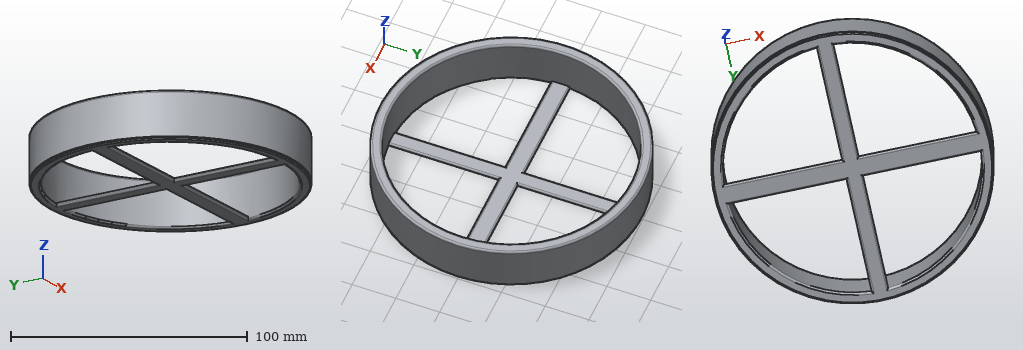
import cadquery as cq

outer_diameter = 119.5
inner_diameter = 109.5
height = 22.0
rim_radius = 1.0

x_bar_width = 8.6
y_bar_width = 7.2
bar_thickness = 1.8
bar_edge_radius = 0.8

bevel_height = 0.6
steep_bevel_inset = 0.2
shallow_bevel_inset = 0.6


def make_ring():
    """Ring with rounded rims and a double bevel around the outside of its base."""
    outer_radius = outer_diameter / 2
    inner_radius = inner_diameter / 2
    bevel_break_radius = outer_radius - steep_bevel_inset
    base_radius = bevel_break_radius - shallow_bevel_inset
    ring = (
        cq.Workplane("XZ")
        .moveTo(inner_radius, 0)
        .lineTo(base_radius, 0)
        .lineTo(bevel_break_radius, bevel_height)
        .lineTo(outer_radius, 2 * bevel_height)
        .lineTo(outer_radius, height)
        .lineTo(inner_radius, height)
        .close()
        .revolve(360, (0, 0), (0, 1))
    )
    ring = ring.faces(">Z").edges().fillet(rim_radius)
    inner_base_edge = ring.faces("<Z").edges(cq.selectors.RadiusNthSelector(0))
    return inner_base_edge.fillet(rim_radius)


def make_cross():
    """Two crossing bars with rounded edges, ending inside the ring wall."""
    x_bar = cq.Workplane("XY").rect(outer_diameter, x_bar_width).extrude(bar_thickness)
    y_bar = cq.Workplane("XY").rect(y_bar_width, outer_diameter).extrude(bar_thickness)
    cross = x_bar.union(y_bar).faces("<Z or >Z").edges().fillet(bar_edge_radius)
    wall_middle_diameter = (outer_diameter + inner_diameter) / 2
    trim = cq.Workplane("XY").circle(wall_middle_diameter / 2).extrude(bar_thickness)
    return cross.intersect(trim)


result = make_ring().union(make_cross())